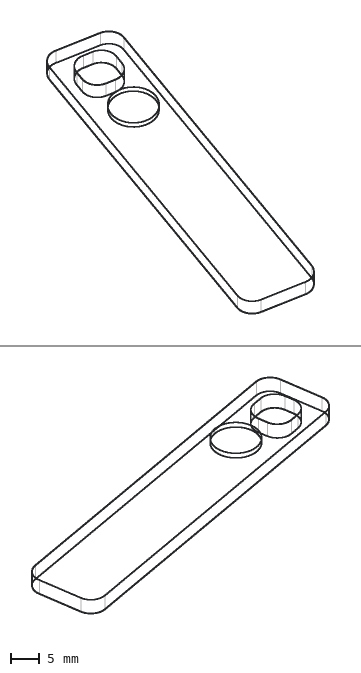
import cadquery as cq

plate_length = 72.0
plate_width = 15.0
plate_thickness = 3.0
plate_corner_radius = 3.0

hole_size = 8.0
hole_corner_radius = 3.0
hole_margin = (plate_width - hole_size) / 2
hole_center_x = -plate_length / 2 + hole_margin + hole_size / 2

total_height = 4.0
disc_diameter = 9.0
disc_height = total_height - plate_thickness
disc_gap = hole_margin
disc_center_x = hole_center_x + hole_size / 2 + disc_gap + disc_diameter / 2


def rounded_block(length, width, height, corner_radius):
    """Block standing on Z = 0, centred in X and Y, with rounded vertical edges."""
    block = cq.Workplane("XY").box(length, width, height, centered=(True, True, False))
    return block.edges("|Z").fillet(corner_radius)


plate = rounded_block(plate_length, plate_width, plate_thickness, plate_corner_radius)

keyring_hole = rounded_block(
    hole_size, hole_size, plate_thickness, hole_corner_radius
).translate((hole_center_x, 0, 0))

disc = (
    cq.Workplane("XY", origin=(disc_center_x, 0, plate_thickness))
    .circle(disc_diameter / 2)
    .extrude(disc_height)
)

result = plate.cut(keyring_hole).union(disc)